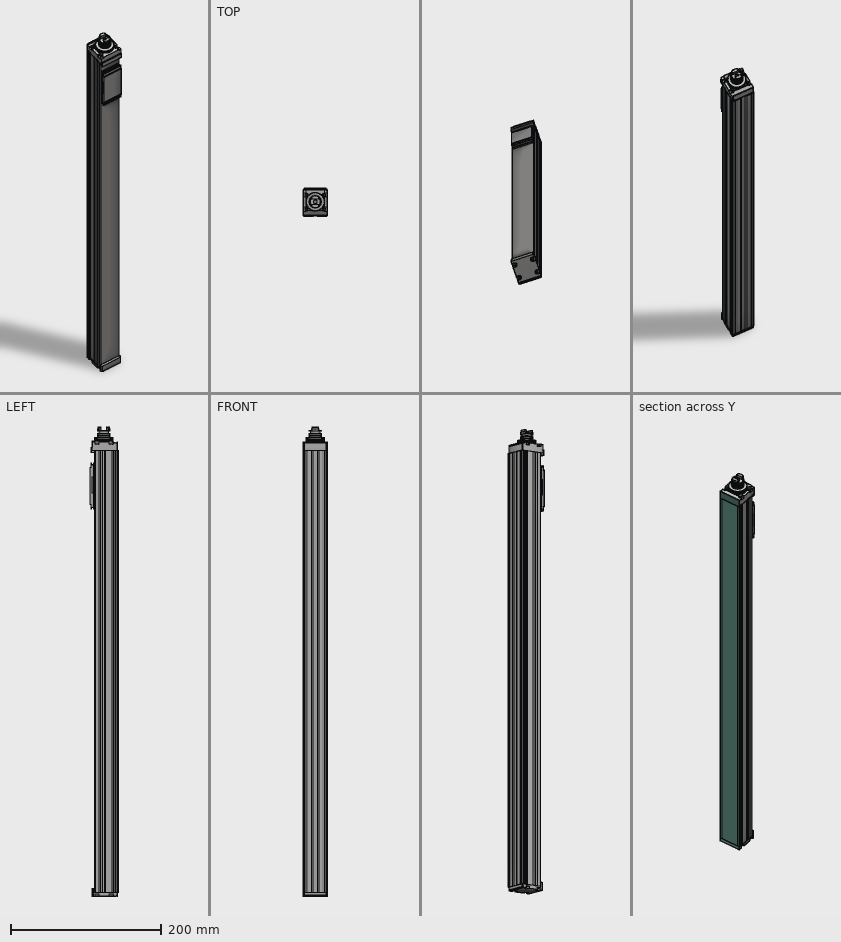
import cadquery as cq
import math

TOTAL_HEIGHT = 624.4
WIDTH = 32.0
HALF_WIDTH = WIDTH / 2
FRONT_Y = -20.3
REAR_Y = FRONT_Y + WIDTH
TOTAL_DEPTH = 38.5
OVERLAP = 1.0

BOTTOM_CAP_HEIGHT = 4.8
TOP_CAP_HEIGHT = 11.2
TOP_CAP_Z = 593.4
DECK_Z = TOP_CAP_Z + TOP_CAP_HEIGHT
CAP_FRONT_Y = -19.0
CAP_REAR_Y = 15.0
CAP_CHAMFER_X = 1.6
CAP_CHAMFER_Y = 0.7

TAB_HALF_WIDTH = 15.5
TAB_REAR_Y = 16.5
TOP_TAB_BOTTOM_Z = 590.5
TOP_TAB_TOP_Z = 597.5
BOTTOM_TAB_TOP_Z = 10.5
BOTTOM_TAB_CHAMFER = 1.5

RECESS_DIAMETER = 5.5
RECESS_DEPTH = 2.8
RECESS_X = 12.4
RECESS_YS = (8.4, -10.3)
SCREW_HOLE_DIAMETER = 3.0

TOP_SLOPE_START_Y = -12.2
BOTTOM_SLOPE_START_Y = -16.3
SLOPE_DROP = 1.5
LIP_THICKNESS = 0.9

PLATFORM_HALF_WIDTH = 12.2
PLATFORM_HEIGHT = 1.5
PLATFORM_Z = DECK_Z + PLATFORM_HEIGHT

HOUSING_CHAMFER = 1.4
V_SLOT_EDGES_Y = (1.6, 5.7)
V_SLOT_DEPTH = 2.0
NOTCH_Y = -2.0
NOTCH_WIDTH = 0.8
NOTCH_DEPTH = 0.5
FLUTE_WIDTH = 1.8
FLUTE_DEPTH = 1.0
FLUTE_CENTRES_Y = (-12.4, -16.1)

WINDOW_HALF_WIDTH = 12.3
WINDOW_FACE_HALF_WIDTH = 10.3
WINDOW_BEVEL_DEPTH = 0.4
WINDOW_THICKNESS = 3.6
WINDOW_BACK_Y = FRONT_Y + WINDOW_THICKNESS
GROOVE_MOUTH_HALF_WIDTH = 4.7
GROOVE_FLOOR_HALF_WIDTH = 2.8
GROOVE_DEPTH = 0.8

CONNECTOR_Y = -0.4
RING_DIAMETER = 24.8
RING_GROOVE_DIAMETER = 23.1
COLLAR_DIAMETER = 16.2
COLLAR_GROOVE_DIAMETER = 15.6
NECK_DIAMETER = 13.0
RING_TOP_Z = 610.4
RING_GROOVE_Z = (607.4, 608.8)
COLLAR_TOP_Z = 616.0
COLLAR_GROOVE_Z = (612.4, 614.2)
HEAD_BOTTOM_Z = 619.0
HEAD_TOP_Z = 620.2
PRONG_WIDTH = 9.4
PRONG_GAP = 7.0
PRONG_STEP = 0.3
PRONG_STEP_Z = 621.7
SOCKET_DIAMETER = 5.0
SOCKET_DEPTH = 3.0

CLIP_TOP_Z = 576.6
CLIP_BOTTOM_Z = 515.4
PAD_TOP_Z = 570.8
PAD_BOTTOM_Z = 521.2
CLIP_HALF_WIDTH = 14.1
PAD_REAR_Y = FRONT_Y + TOTAL_DEPTH
LEAF_REAR_Y = 16.9
LEAF_FRONT_Y = 16.2
FOOT_REAR_Y = 13.5
FOOT_HALF_WIDTH = 13.6
CLIP_CORE_INSET = 2.0
SIDE_RECESS_TOP_Z = 558.0
SIDE_RECESS_BOTTOM_Z = 537.0
SIDE_RECESS_REAR_Y = 15.0
SIDE_RECESS_DEPTH = 1.0


def block(x_range, y_range, z_range):
    """Axis-aligned block between the given limits."""
    x0, x1 = x_range
    y0, y1 = y_range
    z0, z1 = z_range
    return cq.Workplane("XY").box(x1 - x0, y1 - y0, z1 - z0, centered=False).translate((x0, y0, z0))


def wide_block(half_width, y_range, z_range):
    """Block centred on X = 0."""
    return block((-half_width, half_width), y_range, z_range)


def extrusion(points, z_range):
    """Upright prism with a polygonal section."""
    z0, z1 = z_range
    return cq.Workplane("XY").workplane(offset=z0).polyline(points).close().extrude(z1 - z0)


def disc(diameter, z_range):
    """Upright cylinder on the Z axis."""
    z0, z1 = z_range
    return cq.Workplane("XY").workplane(offset=z0).circle(diameter / 2).extrude(z1 - z0)


def v_cutter(side, centre_y, width, depth, z_range):
    """Prism that cuts a V-groove into the side face at X = side * HALF_WIDTH."""
    mouth_x = side * HALF_WIDTH
    points = [
        (mouth_x, centre_y - width / 2),
        (side * (HALF_WIDTH - depth), centre_y),
        (mouth_x, centre_y + width / 2),
    ]
    return extrusion(points, z_range)


def make_housing():
    length = (BOTTOM_CAP_HEIGHT, TOP_CAP_Z)
    body = wide_block(HALF_WIDTH, (FRONT_Y, REAR_Y), length).edges("|Z").chamfer(HOUSING_CHAMFER)

    body = body.cut(wide_block(WINDOW_HALF_WIDTH, (FRONT_Y, WINDOW_BACK_Y), length))

    slot_start, slot_end = V_SLOT_EDGES_Y
    slot_centre = (slot_start + slot_end) / 2
    for side in (-1, 1):
        body = body.cut(v_cutter(side, slot_centre, slot_end - slot_start, V_SLOT_DEPTH, length))
        body = body.cut(v_cutter(side, NOTCH_Y, NOTCH_WIDTH, NOTCH_DEPTH, length))
        for flute_y in FLUTE_CENTRES_Y:
            flute = wide_block(FLUTE_DEPTH, (flute_y - FLUTE_WIDTH / 2, flute_y + FLUTE_WIDTH / 2), length)
            body = body.cut(flute.translate((side * HALF_WIDTH, 0, 0)))
    return body


def make_window():
    groove_floor_y = FRONT_Y + GROOVE_DEPTH
    bevel_y = FRONT_Y + WINDOW_BEVEL_DEPTH
    section = [
        (-WINDOW_HALF_WIDTH, WINDOW_BACK_Y),
        (-WINDOW_HALF_WIDTH, bevel_y),
        (-WINDOW_FACE_HALF_WIDTH, FRONT_Y),
        (-GROOVE_MOUTH_HALF_WIDTH, FRONT_Y),
        (-GROOVE_FLOOR_HALF_WIDTH, groove_floor_y),
        (GROOVE_FLOOR_HALF_WIDTH, groove_floor_y),
        (GROOVE_MOUTH_HALF_WIDTH, FRONT_Y),
        (WINDOW_FACE_HALF_WIDTH, FRONT_Y),
        (WINDOW_HALF_WIDTH, bevel_y),
        (WINDOW_HALF_WIDTH, WINDOW_BACK_Y),
    ]
    return extrusion(section, (BOTTOM_CAP_HEIGHT, TOP_CAP_Z))


def cap_plate(inner_z, outer_z, slope_start_y):
    """Chamfered plate whose outer face slopes inwards towards a thin front lip."""
    outline = [
        (-HALF_WIDTH, CAP_REAR_Y),
        (-HALF_WIDTH, CAP_FRONT_Y + CAP_CHAMFER_Y),
        (-HALF_WIDTH + CAP_CHAMFER_X, CAP_FRONT_Y),
        (HALF_WIDTH - CAP_CHAMFER_X, CAP_FRONT_Y),
        (HALF_WIDTH, CAP_FRONT_Y + CAP_CHAMFER_Y),
        (HALF_WIDTH, CAP_REAR_Y),
    ]
    plate = extrusion(outline, sorted((inner_z, outer_z)))

    inward = math.copysign(SLOPE_DROP, inner_z - outer_z)
    lip_inner_y = CAP_FRONT_Y + LIP_THICKNESS
    wedge = [(slope_start_y, outer_z), (lip_inner_y, outer_z + inward), (lip_inner_y, outer_z)]
    slope = cq.Workplane("YZ").polyline(wedge).close().extrude(HALF_WIDTH + OVERLAP, both=True)
    return plate.cut(slope)


def screw_cutters(recess_z, hole_z):
    """Four screw recesses, each open to the nearer side, with a clearance hole."""
    radius = RECESS_DIAMETER / 2
    cutters = []
    for side in (-1, 1):
        side_x = sorted((side * RECESS_X, side * (HALF_WIDTH + OVERLAP)))
        for y in RECESS_YS:
            centre = (side * RECESS_X, y, 0)
            cutters.append(disc(RECESS_DIAMETER, recess_z).translate(centre))
            cutters.append(block(side_x, (y - radius, y + radius), recess_z))
            cutters.append(disc(SCREW_HOLE_DIAMETER, hole_z).translate(centre))
    return cutters


def make_top_cap():
    cap = cap_plate(TOP_CAP_Z, DECK_Z, TOP_SLOPE_START_Y)
    platform_z = (DECK_Z, PLATFORM_Z)
    cap = cap.union(wide_block(PLATFORM_HALF_WIDTH, (TOP_SLOPE_START_Y, CAP_REAR_Y), platform_z))
    for cutter in screw_cutters((DECK_Z - RECESS_DEPTH, PLATFORM_Z), (TOP_CAP_Z, DECK_Z)):
        cap = cap.cut(cutter)
    tab = wide_block(TAB_HALF_WIDTH, (REAR_Y, TAB_REAR_Y), (TOP_TAB_BOTTOM_Z, TOP_TAB_TOP_Z))
    return cap.union(tab)


def make_bottom_cap():
    cap = cap_plate(BOTTOM_CAP_HEIGHT, 0, BOTTOM_SLOPE_START_Y)
    for cutter in screw_cutters((-OVERLAP, RECESS_DEPTH), (0, BOTTOM_CAP_HEIGHT)):
        cap = cap.cut(cutter)
    tab = wide_block(HALF_WIDTH, (REAR_Y, CAP_REAR_Y), (0, BOTTOM_TAB_TOP_Z))
    tab = tab.edges("|Z and >Y").chamfer(BOTTOM_TAB_CHAMFER)
    corner_strip = wide_block(WIDTH, (CAP_REAR_Y - BOTTOM_TAB_CHAMFER, CAP_REAR_Y), (0, BOTTOM_CAP_HEIGHT))
    return cap.cut(corner_strip).union(tab)


def prong_pair(inset, z_range):
    """Two opposite prongs, with their outer sides set in by the given amount."""
    prongs = disc(COLLAR_DIAMETER - 2 * inset, z_range)
    half_width = PRONG_WIDTH / 2 - inset
    prongs = prongs.intersect(wide_block(half_width, (-COLLAR_DIAMETER, COLLAR_DIAMETER), z_range))
    return prongs.cut(wide_block(PRONG_WIDTH, (-PRONG_GAP / 2, PRONG_GAP / 2), z_range))


def make_connector():
    ring_groove_bottom, ring_groove_top = RING_GROOVE_Z
    collar_groove_bottom, collar_groove_top = COLLAR_GROOVE_Z
    stack = [
        (RING_DIAMETER, PLATFORM_Z, ring_groove_bottom),
        (RING_GROOVE_DIAMETER, ring_groove_bottom, ring_groove_top),
        (RING_DIAMETER, ring_groove_top, RING_TOP_Z),
        (COLLAR_DIAMETER, RING_TOP_Z, collar_groove_bottom),
        (COLLAR_GROOVE_DIAMETER, collar_groove_bottom, collar_groove_top),
        (COLLAR_DIAMETER, collar_groove_top, COLLAR_TOP_Z),
        (NECK_DIAMETER, COLLAR_TOP_Z, HEAD_BOTTOM_Z),
        (COLLAR_DIAMETER, HEAD_BOTTOM_Z, HEAD_TOP_Z),
    ]
    outline = [(0, PLATFORM_Z)]
    for diameter, bottom, top in stack:
        outline += [(diameter / 2, bottom), (diameter / 2, top)]
    outline.append((0, HEAD_TOP_Z))
    body = cq.Workplane("XZ").polyline(outline).close().revolve(360, (0, 0, 0), (0, 1, 0))

    lower_prongs = prong_pair(0, (HEAD_TOP_Z, PRONG_STEP_Z))
    upper_prongs = prong_pair(PRONG_STEP, (PRONG_STEP_Z, TOTAL_HEIGHT))
    body = body.union(lower_prongs).union(upper_prongs)
    body = body.cut(disc(SOCKET_DIAMETER, (HEAD_TOP_Z - SOCKET_DEPTH, HEAD_TOP_Z)))
    return body.translate((0, CONNECTOR_Y, 0))


def make_clip():
    full_z = (CLIP_BOTTOM_Z, CLIP_TOP_Z)
    core_z = (CLIP_BOTTOM_Z + CLIP_CORE_INSET, CLIP_TOP_Z - CLIP_CORE_INSET)
    foot = wide_block(FOOT_HALF_WIDTH, (REAR_Y, FOOT_REAR_Y), full_z)
    core = wide_block(CLIP_HALF_WIDTH, (FOOT_REAR_Y, LEAF_FRONT_Y), core_z)
    leaf = wide_block(CLIP_HALF_WIDTH, (LEAF_FRONT_Y, LEAF_REAR_Y), full_z)
    pad = wide_block(CLIP_HALF_WIDTH, (LEAF_REAR_Y, PAD_REAR_Y), (PAD_BOTTOM_Z, PAD_TOP_Z))
    clip = foot.union(core).union(leaf).union(pad)
    recess_z = (SIDE_RECESS_BOTTOM_Z, SIDE_RECESS_TOP_Z)
    for side in (-1, 1):
        recess = wide_block(SIDE_RECESS_DEPTH, (FOOT_REAR_Y, SIDE_RECESS_REAR_Y), recess_z)
        clip = clip.cut(recess.translate((side * CLIP_HALF_WIDTH, 0, 0)))
    return clip


housing = make_housing()
window = make_window()
top_cap = make_top_cap()
bottom_cap = make_bottom_cap()
connector = make_connector()
clip = make_clip()

result = cq.Compound.makeCompound(
    [housing.val(), window.val(), top_cap.val(), bottom_cap.val(), connector.val(), clip.val()]
)